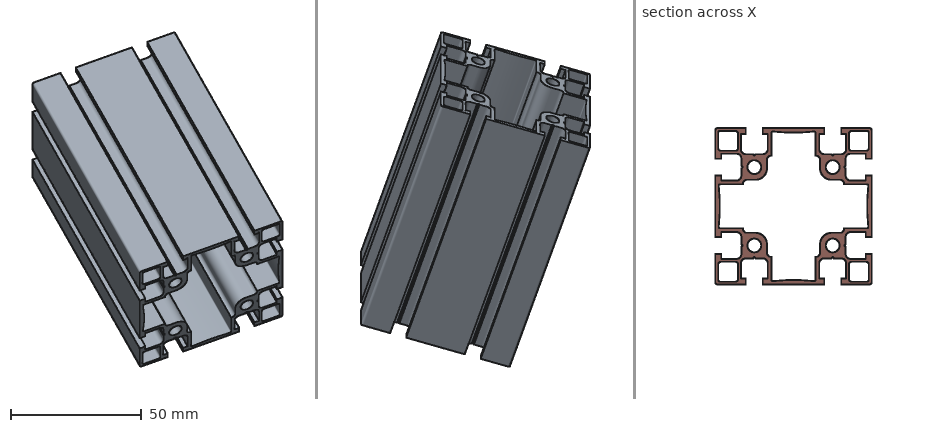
import cadquery as cq
import math

length = 100.0
side = 60.0
half_side = side / 2
outer_corner_radius = 1.0

slot_offset = side / 4
slot_mouth_half = 3.2
slot_inner_half = 5.1
lip_thickness = 2.4
slot_depth = 10.0
slot_floor_radius = 1.8
groove_half_width = 0.5
groove_depth = 0.6

hole_diameter = 5.2

hollow_near = 1.2
hollow_far = 8.7
hollow_radius = 0.9
hollow_outer_radius = 0.5

slot_wall = 1.5
web_edge_thickness = 1.35
web_middle_thickness = 1.85
web_corner_radius = 0.5
core_half = 4.9
core_radius = 4.5
step_depth = 10.7
step_radius = 1.4


def prism(sketch):
    """Extrude a closed outline, drawn in (Y, Z), along the full length."""
    return sketch.extrude(length)


def profile_plane():
    return cq.Workplane("YZ").workplane(offset=-length / 2)


def make_slot(offset):
    """Mouth, chamber and floor groove of a T-slot on the +Z face, centred at Y = offset."""
    lip = half_side - lip_thickness
    floor = half_side - slot_depth
    mouth = prism(
        profile_plane()
        .center(offset, half_side - lip_thickness / 2)
        .rect(2 * slot_mouth_half, lip_thickness)
    )
    chamber = prism(
        profile_plane()
        .center(offset, (lip + floor) / 2)
        .rect(2 * slot_inner_half, lip - floor)
    )
    chamber = chamber.edges("|X and <Z").fillet(slot_floor_radius)
    groove = prism(
        profile_plane()
        .moveTo(offset - groove_half_width, floor)
        .lineTo(offset, floor - groove_depth)
        .lineTo(offset + groove_half_width, floor)
        .close()
    )
    return [mouth, chamber, groove]


def make_corner_hollow():
    """Rounded square hollow in the +Y +Z corner."""
    size = hollow_far - hollow_near
    centre = half_side - (hollow_near + hollow_far) / 2
    hollow = prism(profile_plane().center(centre, centre).rect(size, size))
    hollow = hollow.edges("|X and (<Y or <Z)").fillet(hollow_radius)
    return hollow.edges("|X and >Y and >Z").fillet(hollow_outer_radius)


def make_screw_hole():
    """Round hole through the +Y +Z corner core."""
    return prism(profile_plane().center(slot_offset, slot_offset).circle(hole_diameter / 2))


def turn(point, quarter_turns):
    """Turn a (Y, Z) point clockwise by a number of quarter turns."""
    y, z = point
    for _ in range(quarter_turns):
        y, z = z, -y
    return y, z


def make_cavity():
    """Cross-shaped central cavity with crowned webs and rounded corner cores."""
    arm_half = slot_offset - slot_inner_half - slot_wall
    web_edge = half_side - web_edge_thickness
    web_crown = half_side - web_middle_thickness
    step = half_side - step_depth
    core_face = slot_offset - core_half
    core_arc_end = core_face + core_radius
    core_mid = core_arc_end - core_radius * math.cos(math.pi / 4)
    step_setback = step_radius * (1 - math.cos(math.pi / 4))
    step_mid = step - step_setback
    step_mid_across = core_face - step_setback

    quarter = [
        ("line", (arm_half, step)),
        ("line", (core_face - step_radius, step)),
        ("arc", (step_mid_across, step_mid), (core_face, step - step_radius)),
        ("line", (core_face, core_arc_end)),
        ("arc", (core_mid, core_mid), (core_arc_end, core_face)),
        ("line", (step - step_radius, core_face)),
        ("arc", (step_mid, step_mid_across), (step, core_face - step_radius)),
        ("line", (step, arm_half)),
        ("line", (web_edge, arm_half)),
        ("arc", (web_crown, 0), (web_edge, -arm_half)),
    ]

    outline = profile_plane().moveTo(arm_half, web_edge)
    for quarter_turns in range(4):
        for kind, *points in quarter:
            turned = [turn(point, quarter_turns) for point in points]
            if kind == "line":
                outline = outline.lineTo(*turned[0])
            else:
                outline = outline.threePointArc(*turned)
    cavity = prism(outline.close())
    return cavity.edges("|X and (<Y or >Y or <Z or >Z)").fillet(web_corner_radius)


result = prism(profile_plane().rect(side, side)).edges("|X").fillet(outer_corner_radius)
result = result.cut(make_cavity())
corner_cuts = [
    *make_slot(-slot_offset),
    *make_slot(slot_offset),
    make_corner_hollow(),
    make_screw_hole(),
]
for quarter_turns in range(4):
    for tool in corner_cuts:
        result = result.cut(tool.rotate((0, 0, 0), (1, 0, 0), 90 * quarter_turns))